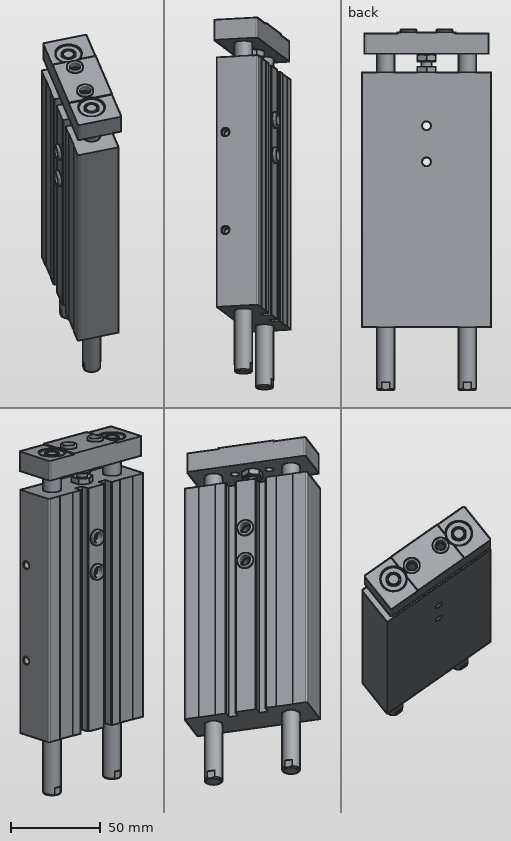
import cadquery as cq
import math

TOTAL_HEIGHT = 201.0
TOTAL_DEPTH = 27.7
TOTAL_WIDTH = 72.0
BACK_FACE = TOTAL_DEPTH / 2
FRONT_TIP = -TOTAL_DEPTH / 2

HOUSING_BOTTOM = 35.2
HOUSING_TOP = 177.0
PLATE_BOTTOM = 187.3
PLATE_TOP = 198.8
PAD_TOP = 199.4

HOUSING_HEIGHT = HOUSING_TOP - HOUSING_BOTTOM
HOUSING_DEPTH = 23.7
HOUSING_FRONT = -HOUSING_DEPTH / 2
HOUSING_CORNER_RADIUS = 1.0
BAND_WIDTH = 9.6
BAND_DEPTH = 0.2
SLOT_X = 8.8
SLOT_WIDTH = 5.2
SLOT_DEPTH = 5.0
SLOT_CHAMFER = 0.6
SIDE_HOLE_Y = 6.8
SIDE_HOLE_LEVELS = (78.5, 134.3)
SIDE_HOLE_DIAMETER = 4.2
SIDE_HOLE_MOUTH = 4.8
SIDE_HOLE_DEPTH = 6.0
DRILL_TIP_ANGLE = 118.0

PLATE_WIDTH = 69.5
PLATE_FRONT = -11.3
PLATE_DEPTH = BACK_FACE - PLATE_FRONT
PLATE_CORNER_RADIUS = 0.8
PAD_WIDTH = 32.4
ROD_SEAT_DIAMETER = 14.0
ROD_SEAT_MOUTH = 15.0
ROD_SEAT_DEPTH = (ROD_SEAT_MOUTH - ROD_SEAT_DIAMETER) / 2
PISTON_ROD_DIAMETER = 6.0
HEX_ACROSS_FLATS = 10.5
HEX_ACROSS_CORNERS = HEX_ACROSS_FLATS / math.cos(math.radians(30))
COLLAR_HEIGHT = 3.2
NUT_HEIGHT = 4.2
NUT_CHAMFER_HEIGHT = 0.8
NUT_CHAMFER_WIDTH = 1.2

ROD_X = 22.7
ROD_DIAMETER = 10.0
ROD_END_CHAMFER = 0.8
ROD_FLATS_WIDTH = 9.0
ROD_FLATS_TOP = 4.6
SPIGOT_DIAMETER = 8.0
SPIGOT_TOP = PLATE_TOP - ROD_SEAT_DEPTH
SPIGOT_CHAMFER = 1.0

SLEEVE_PITCH = 20.0
SLEEVE_DIAMETER = 9.0
SLEEVE_BORE = 6.0
SLEEVE_RECESS = 2.5
SCREW_HOLE_DIAMETER = 4.8
UPPER_SLEEVE_Z = 147.3
FRONT_SLEEVE_LEVELS = (UPPER_SLEEVE_Z, UPPER_SLEEVE_Z - SLEEVE_PITCH)
TOP_SLEEVE_POSITIONS = (-SLEEVE_PITCH / 2, SLEEVE_PITCH / 2)

SIDES = (-1, 1)


def upright_cylinder(x, diameter, bottom, top):
    return cq.Workplane("XY", origin=(x, 0, bottom)).circle(diameter / 2).extrude(top - bottom)


def front_cylinder(z, diameter, front, back):
    return cq.Workplane("XZ", origin=(0, back, z)).circle(diameter / 2).extrude(back - front)


def front_slot(x):
    """Vertical slot in the housing front, with chamfered mouth edges."""
    half_width = SLOT_WIDTH / 2
    half_mouth = half_width + SLOT_CHAMFER
    outline = [
        (x - half_mouth, HOUSING_FRONT),
        (x - half_width, HOUSING_FRONT + SLOT_CHAMFER),
        (x - half_width, HOUSING_FRONT + SLOT_DEPTH),
        (x + half_width, HOUSING_FRONT + SLOT_DEPTH),
        (x + half_width, HOUSING_FRONT + SLOT_CHAMFER),
        (x + half_mouth, HOUSING_FRONT),
    ]
    return cq.Workplane("XY", origin=(0, 0, HOUSING_BOTTOM)).polyline(outline).close().extrude(HOUSING_HEIGHT)


def side_hole(z):
    """Blind hole from the -X side with a countersunk mouth and a conical drill tip."""
    radius = SIDE_HOLE_DIAMETER / 2
    mouth_radius = SIDE_HOLE_MOUTH / 2
    tip_depth = SIDE_HOLE_DEPTH + radius / math.tan(math.radians(DRILL_TIP_ANGLE / 2))
    half_section = [
        (0, 0),
        (0, mouth_radius),
        (mouth_radius - radius, radius),
        (SIDE_HOLE_DEPTH, radius),
        (tip_depth, 0),
    ]
    entry = cq.Workplane("XY", origin=(-TOTAL_WIDTH / 2, SIDE_HOLE_Y, z))
    return entry.polyline(half_section).close().revolve(360, (0, 0, 0), (1, 0, 0))


def make_housing():
    base = cq.Workplane("XY", origin=(0, 0, HOUSING_BOTTOM))
    body = base.rect(TOTAL_WIDTH, HOUSING_DEPTH).extrude(HOUSING_HEIGHT)
    body = body.edges("|Z and <Y").fillet(HOUSING_CORNER_RADIUS)
    for side in SIDES:
        band = base.center(side * ROD_X, HOUSING_FRONT).rect(BAND_WIDTH, 2 * BAND_DEPTH)
        body = body.cut(band.extrude(HOUSING_HEIGHT))
        body = body.cut(front_slot(side * SLOT_X))
        body = body.cut(upright_cylinder(side * ROD_X, ROD_DIAMETER, HOUSING_BOTTOM, HOUSING_TOP))
    for z in FRONT_SLEEVE_LEVELS:
        body = body.cut(front_cylinder(z, SCREW_HOLE_DIAMETER, HOUSING_FRONT, -HOUSING_FRONT))
        body = body.cut(front_cylinder(z, SLEEVE_DIAMETER, HOUSING_FRONT, HOUSING_FRONT + SLEEVE_RECESS))
    for z in SIDE_HOLE_LEVELS:
        body = body.cut(side_hole(z))
    return body


def hexagon(bottom, height):
    """Hexagonal prism with one corner towards the front."""
    prism = cq.Workplane("XY", origin=(0, 0, bottom)).polygon(6, HEX_ACROSS_CORNERS).extrude(height)
    return prism.rotate((0, 0, 0), (0, 0, 1), 30)


def make_nut():
    """Hexagon nut below the plate, with its corners chamfered at both ends."""
    bottom = PLATE_BOTTOM - NUT_HEIGHT
    radius = HEX_ACROSS_CORNERS / 2
    half_section = [
        (0, bottom),
        (radius - NUT_CHAMFER_WIDTH, bottom),
        (radius, bottom + NUT_CHAMFER_HEIGHT),
        (radius, PLATE_BOTTOM - NUT_CHAMFER_HEIGHT),
        (radius - NUT_CHAMFER_WIDTH, PLATE_BOTTOM),
        (0, PLATE_BOTTOM),
    ]
    envelope = cq.Workplane("XZ").polyline(half_section).close().revolve(360, (0, 0, 0), (0, 1, 0))
    return hexagon(bottom, NUT_HEIGHT).intersect(envelope)


def rod_seat(x):
    """Shallow conical recess around a spigot, continued straight up through the pad."""
    cone = cq.Workplane("XY", origin=(x, 0, SPIGOT_TOP)).circle(ROD_SEAT_DIAMETER / 2)
    cone = cone.workplane(offset=ROD_SEAT_DEPTH).circle(ROD_SEAT_MOUTH / 2).loft()
    return cone.union(upright_cylinder(x, ROD_SEAT_MOUTH, PLATE_TOP, PAD_TOP))


def make_yoke():
    base = cq.Workplane("XY", origin=(0, PLATE_FRONT + PLATE_DEPTH / 2, PLATE_BOTTOM))
    body = base.rect(PLATE_WIDTH, PLATE_DEPTH).extrude(PLATE_TOP - PLATE_BOTTOM)
    body = body.edges("|Z").fillet(PLATE_CORNER_RADIUS)
    body = body.union(base.rect(PAD_WIDTH, PLATE_DEPTH).extrude(PAD_TOP - PLATE_BOTTOM))
    for side in SIDES:
        body = body.cut(upright_cylinder(side * ROD_X, SPIGOT_DIAMETER, PLATE_BOTTOM, PAD_TOP))
        body = body.cut(rod_seat(side * ROD_X))
    for x in TOP_SLEEVE_POSITIONS:
        body = body.cut(upright_cylinder(x, SCREW_HOLE_DIAMETER, PLATE_BOTTOM, PAD_TOP))
        body = body.cut(upright_cylinder(x, SLEEVE_DIAMETER, PAD_TOP - SLEEVE_RECESS, PAD_TOP))
    piston_rod = upright_cylinder(0, PISTON_ROD_DIAMETER, HOUSING_TOP, PLATE_BOTTOM)
    return body.union(piston_rod).union(make_nut()).union(hexagon(HOUSING_TOP, COLLAR_HEIGHT))


def make_guide_rod(x):
    rod = upright_cylinder(x, ROD_DIAMETER, 0, PLATE_BOTTOM).faces("<Z").chamfer(ROD_END_CHAMFER)
    spigot = upright_cylinder(x, SPIGOT_DIAMETER, PLATE_BOTTOM, SPIGOT_TOP)
    rod = rod.union(spigot.faces(">Z").chamfer(SPIGOT_CHAMFER))
    for side in SIDES:
        waste = cq.Workplane("XY").center(x, side * ROD_DIAMETER / 2)
        waste = waste.rect(ROD_DIAMETER, ROD_DIAMETER - ROD_FLATS_WIDTH).extrude(ROD_FLATS_TOP)
        rod = rod.cut(waste)
    return rod


def make_sleeve(length):
    """Sleeve standing on the origin along +Z, with a fully rounded upper rim."""
    inner = SLEEVE_BORE / 2
    outer = SLEEVE_DIAMETER / 2
    rim_radius = (outer - inner) / 2
    wall = cq.Workplane("XZ").moveTo(-inner, 0).lineTo(-outer, 0).lineTo(-outer, length - rim_radius)
    wall = wall.threePointArc((-inner - rim_radius, length), (-inner, length - rim_radius)).close()
    return wall.revolve(360, (0, 0, 0), (0, 1, 0))


def make_front_sleeve(z):
    seat = HOUSING_FRONT + SLEEVE_RECESS
    sleeve = make_sleeve(seat - FRONT_TIP)
    return sleeve.rotate((0, 0, 0), (1, 0, 0), 90).translate((0, seat, z))


def make_top_sleeve(x):
    seat = PAD_TOP - SLEEVE_RECESS
    return make_sleeve(TOTAL_HEIGHT - seat).translate((x, 0, seat))


housing = make_housing()
yoke = make_yoke()
guide_rods = [make_guide_rod(side * ROD_X) for side in SIDES]
front_sleeves = [make_front_sleeve(z) for z in FRONT_SLEEVE_LEVELS]
top_sleeves = [make_top_sleeve(x) for x in TOP_SLEEVE_POSITIONS]

bodies = [housing, yoke, *guide_rods, *front_sleeves, *top_sleeves]
result = cq.Compound.makeCompound([body.val() for body in bodies])